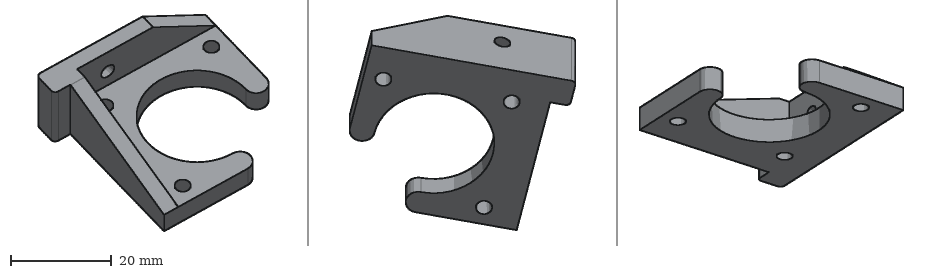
import cadquery as cq

PLATE_SIDE = 34.0
PLATE_THICKNESS = 5.0
BORE_RADIUS = 12.0
ARM_WIDTH = PLATE_SIDE / 2 - BORE_RADIUS
ARM_TIP_OFFSET = BORE_RADIUS + ARM_WIDTH / 2

WALL_THICKNESS = 3.5
WALL_HEIGHT = 15.0
SIDE_WALL_FLAT_END = 1.6

POST_WIDTH = 6.0
POST_OVERHANG = 4.0
POST_EDGE_RADIUS = 1.0

HOLE_DIAMETER = 3.2
PLATE_HOLE_OFFSET = 13.0
WALL_HOLE_Y = -9.5
WALL_HOLE_Z = 9.2

PLATE_EDGE = PLATE_SIDE / 2
WALL_FACE = -PLATE_EDGE - WALL_THICKNESS
POST_FRONT = WALL_FACE - POST_OVERHANG
POST_RIGHT = WALL_FACE + POST_WIDTH


def make_plate():
    """Square plate with three quarters of a ring around the bore and rounded arm tips."""
    plate = cq.Workplane("XY").rect(PLATE_SIDE, PLATE_SIDE).extrude(PLATE_THICKNESS)
    bore = cq.Workplane("XY").circle(BORE_RADIUS).extrude(PLATE_THICKNESS)
    open_corner = cq.Workplane("XY").rect(PLATE_EDGE, PLATE_EDGE, centered=False).extrude(PLATE_THICKNESS)
    tips = (
        cq.Workplane("XY")
        .pushPoints([(0, ARM_TIP_OFFSET), (ARM_TIP_OFFSET, 0)])
        .circle(ARM_WIDTH / 2)
        .extrude(PLATE_THICKNESS)
    )
    return plate.cut(bore).cut(open_corner).union(tips)


def make_wall(plane, start, flat_end, end):
    """Wall with a full-height edge from start to flat_end, sloping to the plate top at end."""
    profile = [
        (start, 0),
        (end, 0),
        (end, PLATE_THICKNESS),
        (flat_end, WALL_HEIGHT),
        (start, WALL_HEIGHT),
    ]
    return cq.Workplane(plane).polyline(profile).close().extrude(WALL_THICKNESS)


def make_side_wall():
    """Wall on the -X side."""
    wall = make_wall("YZ", -PLATE_EDGE, SIDE_WALL_FLAT_END, PLATE_EDGE)
    return wall.translate((WALL_FACE, 0, 0))


def make_front_wall():
    """Wall on the -Y side; the XZ plane extrudes toward -Y."""
    wall = make_wall("XZ", WALL_FACE, POST_RIGHT, PLATE_EDGE)
    return wall.translate((0, -PLATE_EDGE, 0))


def make_post():
    """Corner post with its two outer vertical edges rounded."""
    return (
        cq.Workplane("XY", origin=(WALL_FACE, POST_FRONT, 0))
        .rect(POST_WIDTH, POST_OVERHANG + WALL_THICKNESS, centered=False)
        .extrude(WALL_HEIGHT)
        .faces("<Y")
        .edges("|Z")
        .fillet(POST_EDGE_RADIUS)
    )


def make_plate_holes():
    """Vertical holes in the three closed corners of the plate."""
    offset = PLATE_HOLE_OFFSET
    return (
        cq.Workplane("XY")
        .pushPoints([(-offset, offset), (-offset, -offset), (offset, -offset)])
        .circle(HOLE_DIAMETER / 2)
        .extrude(PLATE_THICKNESS)
    )


def make_wall_hole():
    """Horizontal hole through the side wall."""
    return (
        cq.Workplane("YZ", origin=(WALL_FACE, 0, 0))
        .center(WALL_HOLE_Y, WALL_HOLE_Z)
        .circle(HOLE_DIAMETER / 2)
        .extrude(WALL_THICKNESS)
    )


body = make_plate().union(make_side_wall()).union(make_front_wall()).union(make_post())
result = body.cut(make_plate_holes()).cut(make_wall_hole())